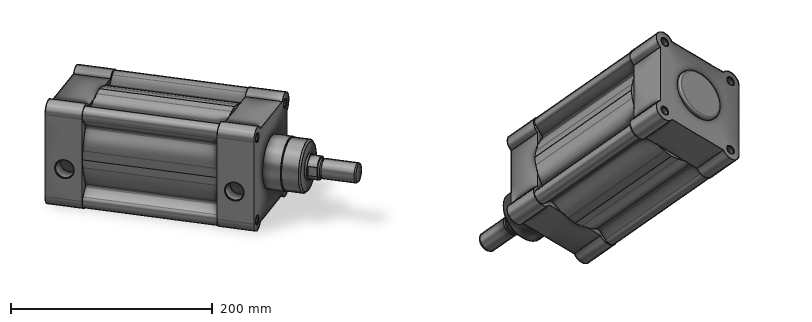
import cadquery as cq
import math

overall_length = 312.7
overall_width = 111.5

rear_boss_length = 4.0
cap_length = 38.5
barrel_length = 140.7
nose_length = 19.5
nose_tip_length = 19.5
collar_length = 2.2
shank_length = 10.3
groove_length = 3.8

cap_half_width = 50.5
lug_offset = 44.5
boss_diameter = 55.5
boss_fillet = 2.2
nose_chamfer = 1.0
nose_tip_diameter = 54.0
nose_tip_chamfer = 2.0
collar_diameter = 26.3

screw_hole_diameter = 8.5
screw_rim_diameter = 10.0
screw_hole_depth = 16.0
port_diameter = 18.8
port_rim_diameter = 20.3
port_depth = 15.5
port_inset = 20.3
port_height = -12.0

barrel_radius = 53.5
ridge_half_angle = 9.8
rib_offset = 46.5
rib_radius = 7.8
rib_root_fillet = 2.5

shank_diameter = 24.0
shank_width_across_flats = 22.0
shank_flat_length = 9.5
thread_diameter = 20.3
groove_depth = 1.0
thread_chamfer_length = 1.5
thread_chamfer_depth = 1.0

barrel_start = rear_boss_length + cap_length
front_cap_start = barrel_start + barrel_length
nose_start = front_cap_start + cap_length
nose_tip_start = nose_start + nose_length
collar_start = nose_tip_start + nose_tip_length
shank_start = collar_start + collar_length
shank_end = shank_start + shank_length
thread_start = shank_end + groove_length

lug_radius = overall_width / 2 - lug_offset
port_face_y = -overall_width / 2
front_port_x = nose_start - port_inset
rear_port_x = rear_boss_length + port_inset


def section_plane(x):
    """Workplane across the axis at x, with local axes along Y and Z."""
    return cq.Workplane("YZ", origin=(x, 0, 0))


def disc(start_x, length, diameter):
    """Round length of the cylinder axis that starts at start_x."""
    return section_plane(start_x).circle(diameter / 2).extrude(length)


def countersunk_hole(origin, outward, depth, diameter, rim_diameter):
    """Tool for a blind hole into the face at origin, with a 45 degree rim."""
    face = cq.Plane(origin=origin, normal=outward)
    rim_depth = (rim_diameter - diameter) / 2
    bore = cq.Workplane(face).circle(diameter / 2).extrude(-depth)
    rim = cq.Workplane(face).circle(rim_diameter / 2).extrude(-rim_depth, taper=45)
    return bore.union(rim)


def cap_block(start_x):
    """Square block with a round lug at each corner; its -Y face is tangent to the lugs."""
    block_depth = cap_half_width - port_face_y
    block_centre_y = (cap_half_width + port_face_y) / 2
    across = (
        section_plane(start_x)
        .center(block_centre_y, 0)
        .rect(block_depth, 2 * lug_offset)
        .extrude(cap_length)
    )
    upright = section_plane(start_x).rect(2 * lug_offset, 2 * cap_half_width).extrude(cap_length)
    lugs = (
        section_plane(start_x)
        .rect(2 * lug_offset, 2 * lug_offset, forConstruction=True)
        .vertices()
        .circle(lug_radius)
        .extrude(cap_length)
    )
    return across.union(upright).union(lugs)


def drilled_cap(start_x, outer_face_x, outward, port_x):
    """Cap block with a screw hole in each lug's outer face and an air port in its -Y face."""
    cap = cap_block(start_x)
    for y in (-lug_offset, lug_offset):
        for z in (-lug_offset, lug_offset):
            cap = cap.cut(
                countersunk_hole(
                    (outer_face_x, y, z), (outward, 0, 0),
                    screw_hole_depth, screw_hole_diameter, screw_rim_diameter,
                )
            )
    return cap.cut(
        countersunk_hole(
            (port_x, port_face_y, port_height), (0, -1, 0),
            port_depth, port_diameter, port_rim_diameter,
        )
    )


def make_rear_cap():
    """Rear end cap with a round-edged centring boss."""
    cap = drilled_cap(rear_boss_length, rear_boss_length, -1, rear_port_x)
    boss = disc(0, rear_boss_length, boss_diameter).faces("<X").edges().fillet(boss_fillet)
    return cap.union(boss)


def make_front_cap():
    """Front end cap with its stepped nose and the collar around the rod's exit."""
    cap = drilled_cap(front_cap_start, nose_start, 1, front_port_x)
    nose = disc(nose_start, nose_length, boss_diameter).faces(">X").chamfer(nose_chamfer)
    tip = disc(nose_tip_start, nose_tip_length, nose_tip_diameter).faces(">X").chamfer(nose_tip_chamfer)
    collar = disc(collar_start, collar_length, collar_diameter)
    return cap.union(nose).union(tip).union(collar)


def barrel_rib():
    """Round-nosed rib that reaches from the axis out to the +Y+Z corner."""
    reach = rib_offset * math.sqrt(2)
    return (
        section_plane(barrel_start)
        .moveTo(0, -rib_radius)
        .lineTo(reach, -rib_radius)
        .threePointArc((reach + rib_radius, 0), (reach, rib_radius))
        .lineTo(0, rib_radius)
        .close()
        .extrude(barrel_length)
        .rotate((0, 0, 0), (1, 0, 0), 45)
    )


def barrel_ridge():
    """Shallow roof along the +Z side, its two slopes tangent to the round barrel."""
    angle = math.radians(ridge_half_angle)
    tangent_y = barrel_radius * math.sin(angle)
    tangent_z = barrel_radius * math.cos(angle)
    apex_z = barrel_radius / math.cos(angle)
    return (
        section_plane(barrel_start)
        .polyline([(0, 0), (tangent_y, tangent_z), (0, apex_z), (-tangent_y, tangent_z)])
        .close()
        .extrude(barrel_length)
    )


def make_barrel():
    """Round barrel with a rib along each corner and a ridge along each side."""
    barrel = disc(barrel_start, barrel_length, 2 * barrel_radius)
    for quarter in range(4):
        barrel = barrel.union(barrel_rib().rotate((0, 0, 0), (1, 0, 0), 90 * quarter))

    root_angle = math.radians(45) - math.asin(rib_radius / barrel_radius)
    root_near = barrel_radius * math.sin(root_angle)
    root_far = barrel_radius * math.cos(root_angle)
    mid_x = barrel_start + barrel_length / 2
    for side_y in (-1, 1):
        for side_z in (-1, 1):
            for y, z in ((root_near, root_far), (root_far, root_near)):
                root = cq.selectors.NearestToPointSelector((mid_x, side_y * y, side_z * z))
                barrel = barrel.edges("|X").edges(root).fillet(rib_root_fillet)

    for quarter in range(4):
        barrel = barrel.union(barrel_ridge().rotate((0, 0, 0), (1, 0, 0), 90 * quarter))
    return barrel


def make_rod():
    """Piston rod end: shank with two wrench flats, V-groove and chamfered threaded end."""
    shank_radius = shank_diameter / 2
    thread_radius = thread_diameter / 2
    half_section = [
        (shank_start, 0),
        (shank_start, shank_radius),
        (shank_end, shank_radius),
        (shank_end, thread_radius),
        (shank_end + groove_length / 2, thread_radius - groove_depth),
        (thread_start, thread_radius),
        (overall_length - thread_chamfer_length, thread_radius),
        (overall_length, thread_radius - thread_chamfer_depth),
        (overall_length, 0),
    ]
    rod = cq.Workplane("XY").polyline(half_section).close().revolve(360, (0, 0, 0), (1, 0, 0))

    flat_depth = (shank_diameter - shank_width_across_flats) / 2
    flat_y = (shank_width_across_flats + flat_depth) / 2
    flat_start = shank_end - shank_flat_length
    for side in (-1, 1):
        cutter = (
            section_plane(flat_start)
            .center(side * flat_y, 0)
            .rect(flat_depth, shank_diameter)
            .extrude(shank_flat_length)
        )
        rod = rod.cut(cutter)
    return rod


rear_cap = make_rear_cap()
barrel = make_barrel()
front_cap = make_front_cap()
rod = make_rod()

result = cq.Compound.makeCompound([rear_cap.val(), barrel.val(), front_cap.val(), rod.val()])